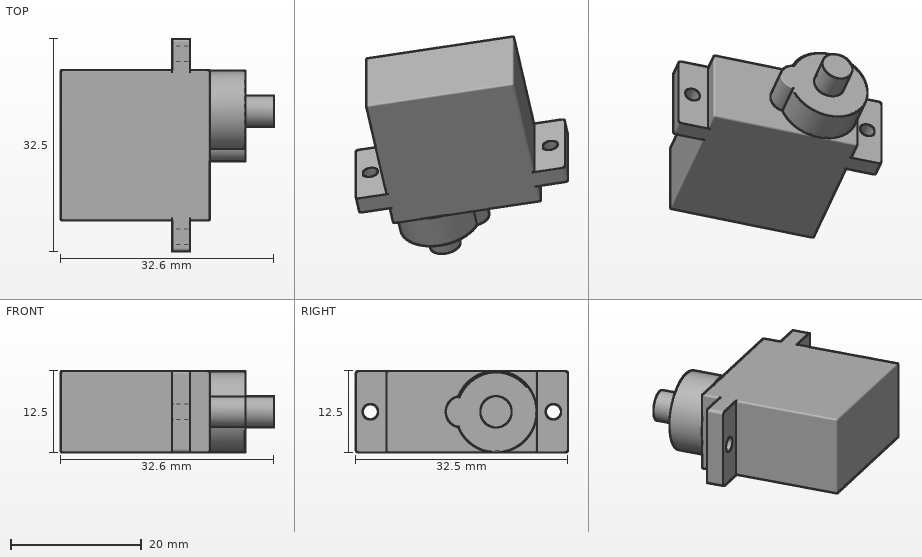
import cadquery as cq

case_length = 22.8
case_width = 23.0
height = 12.5
case_edge_radius = 0.3

tab_span = 32.5
tab_start = 17.02
tab_thickness = 2.75
tab_corner_radius = 0.5
screw_hole_diameter = 2.3
screw_hole_spacing = 27.97

housing_end = 28.25
housing_edge_radius = 0.2
large_housing_diameter = 12.45
small_housing_diameter = 4.8
housing_span = 14.0
shaft_diameter = 4.8
shaft_end = 32.6

housing_side_gap = 0.05
shaft_y = case_width / 2 - housing_side_gap - large_housing_diameter / 2
small_housing_y = case_width / 2 - housing_span + small_housing_diameter / 2


def cylinder_along_x(diameter, y, start, end):
    """Cylinder parallel to X, at mid height."""
    return cq.Workplane("YZ", origin=(start, y, 0)).circle(diameter / 2).extrude(end - start)


def make_case():
    case = cq.Workplane("XY").box(case_length, case_width, height, centered=(False, True, True))
    return case.edges().fillet(case_edge_radius)


def make_mounting_plate():
    plate = (
        cq.Workplane("YZ", origin=(tab_start, 0, 0))
        .rect(tab_span, height)
        .extrude(tab_thickness)
        .edges("|X")
        .fillet(tab_corner_radius)
    )
    for side in (-1, 1):
        hole_y = side * screw_hole_spacing / 2
        plate = plate.cut(
            cylinder_along_x(screw_hole_diameter, hole_y, tab_start, tab_start + tab_thickness)
        )
    return plate


def make_housing_cylinder(diameter, y):
    cylinder = cylinder_along_x(diameter, y, case_length, housing_end)
    return cylinder.faces(">X").edges().fillet(housing_edge_radius)


def make_gear_housing():
    large = make_housing_cylinder(large_housing_diameter, shaft_y)
    small = make_housing_cylinder(small_housing_diameter, small_housing_y)
    return large.union(small)


shaft = cylinder_along_x(shaft_diameter, shaft_y, case_length, shaft_end)
result = make_case().union(make_mounting_plate()).union(make_gear_housing()).union(shaft)